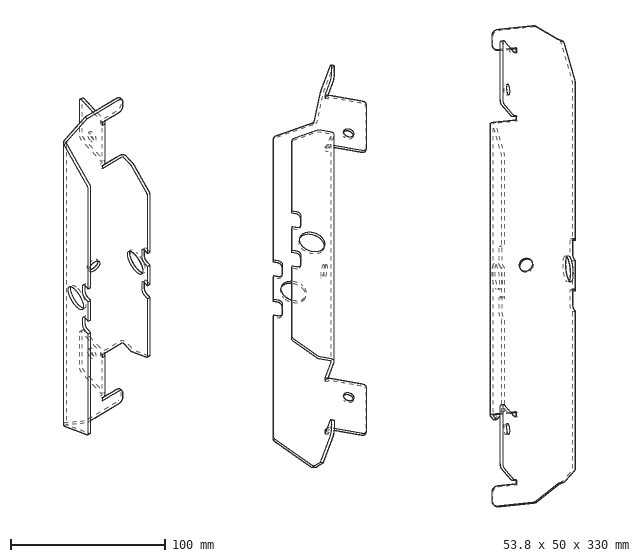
import cadquery as cq
import math

SHEET = 2.0
BEND_INNER = 1.0
BEND_OUTER = BEND_INNER + SHEET
HEIGHT = 330.0
WIDTH = 50.0
DEPTH = 53.85
FLANGE_DEPTH = 28.9
HALF_HEIGHT = HEIGHT / 2
HALF_WIDTH = WIDTH / 2

SLOPE = math.tan(math.radians(35))
WEB_SLOPE_START_Y = -6.0
WEB_SLOPE_END_Y = BEND_OUTER - HALF_WIDTH
WEB_SLOPE_END_Z = HALF_HEIGHT - SLOPE * (WEB_SLOPE_START_Y - WEB_SLOPE_END_Y)
BEND_END_DROP = 1.3
LONG_FLANGE_TOP = WEB_SLOPE_END_Z - BEND_END_DROP
LONG_FLANGE_ROOT = LONG_FLANGE_TOP + SLOPE * (BEND_OUTER - SHEET)
SHORT_FLANGE_TOP = 101.0
SHORT_SLOPE_START_X = 11.1
SHORT_SLOPE_START_RADIUS = 2.0
FLANGE_TIP_RADIUS = 3.0

HOOK_END_Y = 23.0
HOOK_BOTTOM = 151.0
HOOK_RADIUS = 4.0

TAB_TIP_X = FLANGE_DEPTH - DEPTH
TAB_OUTER_Y = 10.0
TAB_INNER_Y = TAB_OUTER_Y - SHEET
TAB_BEND_INNER = 0.7
TAB_BEND_OUTER = TAB_BEND_INNER + SHEET
TAB_BEND_Y = TAB_INNER_Y - TAB_BEND_INNER
TAB_RELIEF_Y = 6.5
TAB_BOTTOM = 104.0
TAB_LENGTH = 44.0
TAB_CORNER_RADIUS = 3.0
TAB_HOLE_DIAMETER = 7.0
TAB_HOLE_X = TAB_TIP_X + 12.0
TAB_HOLE_Z = 117.5

WEB_HOLE_DIAMETER = 9.0
FLANGE_HOLE_DIAMETER = 17.0
FLANGE_HOLE_X = FLANGE_DEPTH - 13.5
NOTCH_DEPTH = 6.0
NOTCH_HEIGHT = 14.0
NOTCH_CENTER_Z = 17.5
NOTCH_RADIUS = 3.0


def channel():
    """Full-height U channel with rounded bends."""
    outer = (
        cq.Workplane("XY")
        .box(FLANGE_DEPTH, WIDTH, HEIGHT, centered=(False, True, True))
        .edges("|Z and <X")
        .fillet(BEND_OUTER)
    )
    inner = (
        cq.Workplane("XY")
        .box(FLANGE_DEPTH, WIDTH - 2 * SHEET, HEIGHT, centered=(False, True, True))
        .edges("|Z and <X")
        .fillet(BEND_INNER)
        .translate((SHEET, 0, 0))
    )
    return outer.cut(inner)


def symmetric_outline(plane, upper_points):
    """Closed outline from points listed from top to mid height, mirrored about Z = 0."""
    lower_points = [(u, -z) for u, z in reversed(upper_points)]
    return cq.Workplane(plane).polyline(upper_points + lower_points).close()


def round_corners(plate, axis, u, z, radius):
    """Round the edges along the given axis at (u, z) and (u, -z)."""
    reach = 0.1
    for height in (z, -z):
        if axis == "X":
            low = (-HEIGHT, u - reach, height - reach)
            high = (HEIGHT, u + reach, height + reach)
        else:
            low = (u - reach, -HEIGHT, height - reach)
            high = (u + reach, HEIGHT, height + reach)
        plate = plate.edges(f"|{axis}").edges(cq.selectors.BoxSelector(low, high)).fillet(radius)
    return plate


def hook_blank():
    """Flat sheet in the web plane above and below the short flange, where the hooks have no bend."""
    sheet = cq.Workplane("XY").box(SHEET, HALF_WIDTH, HEIGHT, centered=(False, False, True))
    flange_gap = cq.Workplane("XY").box(2 * SHEET, WIDTH, 2 * SHORT_FLANGE_TOP)
    return sheet.cut(flange_gap)


def web_envelope():
    """Web outline swept through the channel depth: hooks, tab cutouts and sloped ends."""
    outline = symmetric_outline("YZ", [
        (-HALF_WIDTH, LONG_FLANGE_TOP),
        (WEB_SLOPE_END_Y, WEB_SLOPE_END_Z),
        (WEB_SLOPE_START_Y, HALF_HEIGHT),
        (HOOK_END_Y, HALF_HEIGHT),
        (HOOK_END_Y, HOOK_BOTTOM),
        (TAB_RELIEF_Y, HOOK_BOTTOM),
        (TAB_RELIEF_Y, SHORT_FLANGE_TOP),
        (HALF_WIDTH, SHORT_FLANGE_TOP),
    ])
    plate = outline.extrude(FLANGE_DEPTH)
    plate = round_corners(plate, "X", HOOK_END_Y, HALF_HEIGHT, HOOK_RADIUS)
    return round_corners(plate, "X", HOOK_END_Y, HOOK_BOTTOM, HOOK_RADIUS)


def flange_envelope(side, root_z, top_z, slope_start_x):
    """Flange outline with sloped ends, swept from mid width to the flange on one side (-1 or 1 in Y).

    Within the web thickness it is full height, so it leaves the web untouched.
    """
    tip_z = top_z - SLOPE * (FLANGE_DEPTH - slope_start_x)
    upper_points = [
        (0, HALF_HEIGHT),
        (SHEET, HALF_HEIGHT),
        (SHEET, root_z),
        (slope_start_x, top_z),
        (FLANGE_DEPTH, tip_z),
    ]
    plate = symmetric_outline("XZ", upper_points).extrude(-side * HALF_WIDTH)
    return round_corners(plate, "Y", FLANGE_DEPTH, tip_z, FLANGE_TIP_RADIUS)


def web_hole():
    """Round hole at the centre of the web."""
    return cq.Workplane("YZ").circle(WEB_HOLE_DIAMETER / 2).extrude(BEND_OUTER)


def flange_hole():
    """Hole through both flanges."""
    return (
        cq.Workplane("XZ")
        .center(FLANGE_HOLE_X, 0)
        .circle(FLANGE_HOLE_DIAMETER / 2)
        .extrude(HALF_WIDTH, both=True)
    )


def edge_notch(center_z):
    """Notch with rounded inner corners in the free edge of both flanges."""
    return (
        cq.Workplane("XY")
        .box(2 * NOTCH_DEPTH, WIDTH, NOTCH_HEIGHT)
        .edges("|Y and <X")
        .fillet(NOTCH_RADIUS)
        .translate((FLANGE_DEPTH, 0, center_z))
    )


def upper_tab():
    """Tab bent from the web edge toward -X, with rounded free corners and a hole."""
    plate_end_x = -TAB_BEND_INNER
    tab = (
        cq.Workplane("XY", origin=(0, 0, TAB_BOTTOM))
        .moveTo(0, TAB_BEND_Y)
        .radiusArc((plate_end_x, TAB_INNER_Y), -TAB_BEND_INNER)
        .lineTo(TAB_TIP_X, TAB_INNER_Y)
        .lineTo(TAB_TIP_X, TAB_OUTER_Y)
        .lineTo(plate_end_x, TAB_OUTER_Y)
        .radiusArc((SHEET, TAB_BEND_Y), TAB_BEND_OUTER)
        .lineTo(SHEET, TAB_RELIEF_Y)
        .lineTo(0, TAB_RELIEF_Y)
        .close()
        .extrude(TAB_LENGTH)
        .edges("|Y and <X")
        .fillet(TAB_CORNER_RADIUS)
    )
    hole = (
        cq.Workplane("XZ")
        .center(TAB_HOLE_X, TAB_HOLE_Z)
        .circle(TAB_HOLE_DIAMETER / 2)
        .extrude(-HALF_WIDTH)
    )
    return tab.cut(hole)


def bracket():
    """Channel trimmed to its outlines, pierced, with a tab at each end."""
    long_flange = flange_envelope(-1, LONG_FLANGE_ROOT, LONG_FLANGE_TOP, BEND_OUTER)
    short_flange = flange_envelope(1, SHORT_FLANGE_TOP, SHORT_FLANGE_TOP, SHORT_SLOPE_START_X)
    short_flange = round_corners(
        short_flange, "Y", SHORT_SLOPE_START_X, SHORT_FLANGE_TOP, SHORT_SLOPE_START_RADIUS
    )
    blank = channel().union(hook_blank())
    body = blank.intersect(web_envelope()).intersect(long_flange.union(short_flange))
    body = body.cut(web_hole()).cut(flange_hole())
    for center_z in (NOTCH_CENTER_Z, -NOTCH_CENTER_Z):
        body = body.cut(edge_notch(center_z))
    tab = upper_tab()
    return body.union(tab).union(tab.mirror("XY"))


result = bracket().solids()